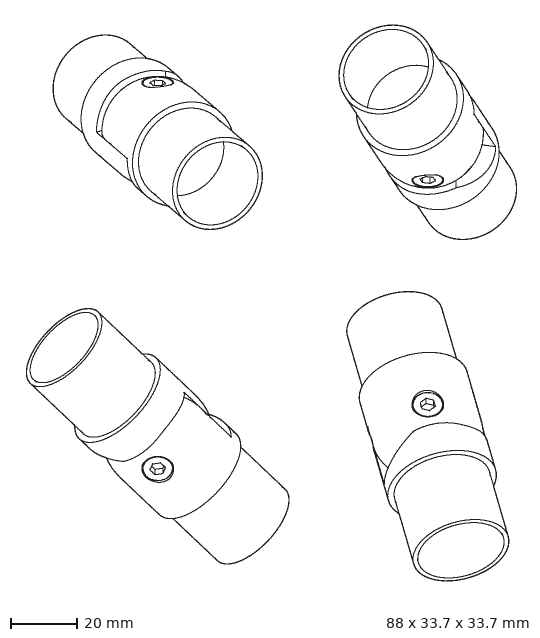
import cadquery as cq

total_length = 88.0
collar_length = 37.8
collar_diameter = 33.7
spigot_radius = 14.9
bore_radius = 13.4

upper_stop_outer_x = -14.4
lower_stop_outer_x = -15.05
stop_inner_x = -8.45
stop_inner_y = 6.4
crest_x = -8.1
valley_y = -7.0
hollow_x = -8.6
hollow_y = -11.4
tip_x = -7.6

screw_hole_radius = 4.75
screw_head_radius = 4.5
screw_head_height = 16.1
screw_gap_depth = 0.7
hex_corner_diameter = 4.75
hex_depth = 2.6

half_length = total_length / 2
collar_radius = collar_diameter / 2
spigot_length = (total_length - collar_length) / 2


def cylinder_x(radius, start, length):
    return cq.Workplane("YZ", origin=(start, 0, 0)).circle(radius).extrude(length)


def clearance_gap(stop_outer_x):
    """Space beside the ball, above the hinge plane, on the -X side."""
    block = (
        cq.Workplane("XY")
        .moveTo(0, collar_radius)
        .lineTo(stop_outer_x, collar_radius)
        .lineTo(stop_inner_x, stop_inner_y)
        .threePointArc((crest_x, 0), (stop_inner_x, valley_y))
        .threePointArc((hollow_x, hollow_y), (tip_x, -collar_radius))
        .lineTo(0, -collar_radius)
        .close()
        .extrude(collar_radius)
    )
    return block.cut(cq.Workplane("XY").sphere(collar_radius))


def screw_recess():
    """Material removed around and inside the upper pivot screw head."""
    head = cq.Workplane("XY", origin=(0, 0, screw_head_height))
    recess = head.circle(screw_hole_radius).extrude(collar_radius - screw_head_height)
    gap = head.circle(screw_hole_radius).circle(screw_head_radius).extrude(-screw_gap_depth)
    socket = head.polygon(6, hex_corner_diameter).extrude(-hex_depth)
    return recess.union(gap).union(socket)


def opposite(cutter):
    """Point reflection through the joint centre."""
    return cutter.mirror("XY").rotate((0, 0, 0), (0, 0, 1), 180)


result = cylinder_x(spigot_radius, -half_length, total_length)
result = result.union(cylinder_x(collar_radius, -collar_length / 2, collar_length))

for bore_start in (-half_length, half_length - spigot_length):
    result = result.cut(cylinder_x(bore_radius, bore_start, spigot_length))

result = result.cut(clearance_gap(upper_stop_outer_x))
result = result.cut(opposite(clearance_gap(lower_stop_outer_x)))

result = result.cut(screw_recess()).cut(opposite(screw_recess()))